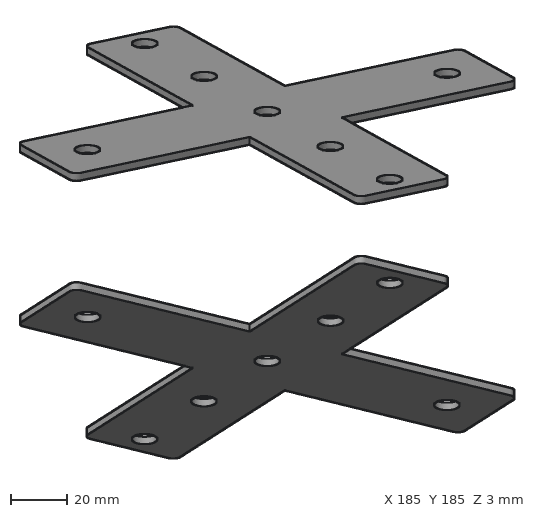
import cadquery as cq

span = 185.0
arm_width = 38.5
thickness = 3.0
corner_radius = 3.0

hole_diameter = 9.0
inner_hole_x = 42.5
outer_hole_x = 82.5
hole_y = 75.0


def arm(length_x, length_y):
    """Flat bar with rounded outer corners, centred on the origin."""
    bar = cq.Workplane("XY").box(length_x, length_y, thickness)
    return bar.edges("|Z").fillet(corner_radius)


cross = arm(span, arm_width).union(arm(arm_width, span))

hole_centres = [(0, 0)]
for side in (-1, 1):
    hole_centres.append((side * inner_hole_x, 0))
    hole_centres.append((side * outer_hole_x, 0))
    hole_centres.append((0, side * hole_y))

result = cross.faces(">Z").workplane(origin=(0, 0, 0)).pushPoints(hole_centres).hole(hole_diameter)